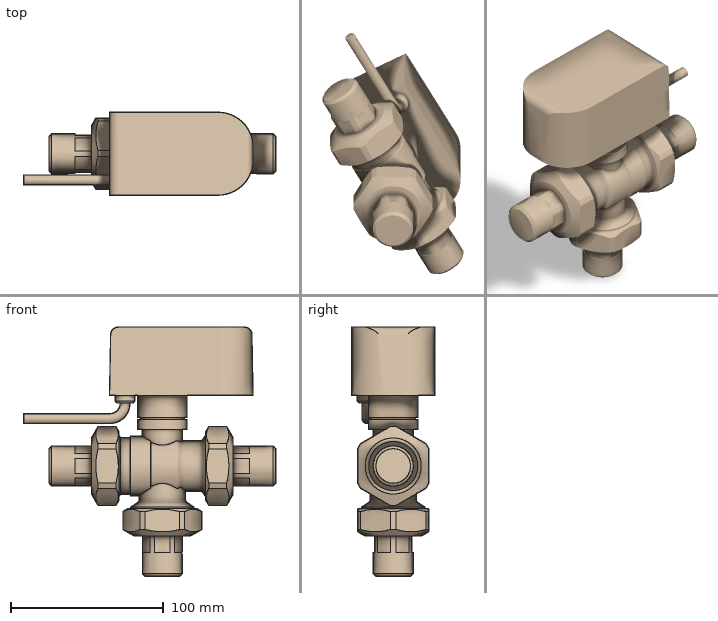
import cadquery as cq
import math


RUN_TIP = 74.4
RUN_NUT_FACE = 46.5
RUN_FLANGE_EDGE = 28.8
BRANCH_TIP = 72.4
BRANCH_NUT_FACE = 46.0
BRANCH_FLANGE_EDGE = 27.0

NUT_LENGTH = 18.2
NUT_ACROSS_FLATS = 46.8
NUT_CORNER_RADIUS = 26.0
NUT_FACE_RADIUS = 18.3
NUT_FACE_CHAMFER = 4.3
NUT_BACK_RADIUS = 22.5
NUT_BACK_CHAMFER = 2.1
NUT_SEAT_DEPTH = NUT_LENGTH / 2

TAIL_RADIUS = 26.3 / 2
TAIL_CHAMFER = 1.8
TAIL_SHOULDER_RADIUS = 16.0
TAIL_ACROSS_FLATS = 24.3
TAIL_FLATS_LENGTH = 10.7

FLANGE_RADIUS = 20.8
FLANGE_CONE_ANGLE = 57.0
FLANGE_FILLET = 2.0
LEFT_RADIUS = 18.8
BAND_RADIUS = 39.2 / 2
BAND_START = -21.3
BAND_END = -7.5
BAND_CHAMFER = 0.5
CENTRE_RADIUS = 19.0
RIGHT_RADIUS = 33.2 / 2
SHOULDER_START = 9.8
SHOULDER_FILLET = 2.3
BRANCH_RADIUS = 15.2
STEM_RADIUS = 26.5 / 2
COLLAR_RADIUS = 32.5 / 2
COLLAR_BOTTOM = 24.0
COLLAR_TOP = 30.4
GROOVE_HEIGHT = 1.5
GROOVE_DEPTH = 1.7

HOUSING_BOTTOM = 46.3
HOUSING_TOP = 91.1
HOUSING_LEFT = -34.7
HOUSING_RIGHT = 59.5
HOUSING_WIDTH = 54.5
HOUSING_DRAFT = 0.8
HOUSING_TOP_FILLET = 5.1
HOUSING_CORNER_RADIUS = 23.1
NECK_BOTTOM = COLLAR_TOP + GROOVE_HEIGHT

GLAND_X = -24.5
GLAND_Y = -17.2
GLAND_RADIUS = 13.0 / 2
GLAND_HEIGHT = 5.1
GLAND_CHAMFER = 1.3
CABLE_RADIUS = 3.3
CABLE_BEND_RADIUS = 10.0
CABLE_Z = 31.0
CABLE_END = -91.0

EDGE_TOLERANCE = 0.002


def turned(points):
    """Solid of revolution about Z from (radius, height) points; the axis closes the outline."""
    outline = [(0, points[0][1])] + points + [(0, points[-1][1])]
    return cq.Workplane("XZ").polyline(outline).close().revolve(360, (0, 0), (0, 1))


def hexagon(across_flats, bottom, height):
    """Hexagonal prism about Z with two flats facing -Y and +Y."""
    across_corners = across_flats / math.cos(math.radians(30))
    return cq.Workplane("XY").workplane(offset=bottom).polygon(6, across_corners).extrude(height)


def cylinder(radius, bottom, top):
    return cq.Workplane("XY").workplane(offset=bottom).circle(radius).extrude(top - bottom)


def fillet_rings(solid, heights, radius):
    """Round the circular edges of a turned solid that lie at the given heights."""
    rings = solid.edges("%CIRCLE").filter(
        lambda edge: any(abs(edge.Center().z - height) < EDGE_TOLERANCE for height in heights)
    )
    return rings.fillet(radius)


def turn_to_port(solid, angle):
    """Swing a solid built along +Z about the Y axis onto its port."""
    return solid.rotate((0, 0, 0), (0, 1, 0), angle)


def seat(nut_face):
    """Station inside the nut where tailpiece and body flange meet."""
    return nut_face - NUT_SEAT_DEPTH


def cone_start(flange_edge, pipe_radius):
    """Station where the flange cone leaves a pipe of the given radius."""
    return flange_edge - (FLANGE_RADIUS - pipe_radius) / math.tan(math.radians(FLANGE_CONE_ANGLE))


def make_nut(nut_face):
    back = nut_face - NUT_LENGTH
    envelope = turned([
        (NUT_BACK_RADIUS, back),
        (NUT_CORNER_RADIUS, back + NUT_BACK_CHAMFER),
        (NUT_CORNER_RADIUS, nut_face - NUT_FACE_CHAMFER),
        (NUT_FACE_RADIUS, nut_face),
    ])
    blank = hexagon(NUT_ACROSS_FLATS, back, NUT_LENGTH).intersect(envelope)
    flange_recess = cylinder(FLANGE_RADIUS, back, seat(nut_face))
    shoulder_bore = cylinder(TAIL_SHOULDER_RADIUS, seat(nut_face), nut_face)
    return blank.cut(flange_recess).cut(shoulder_bore)


def make_tailpiece(nut_face, tip):
    shoulder = cylinder(TAIL_SHOULDER_RADIUS, seat(nut_face), nut_face)
    wrench_section = cylinder(TAIL_RADIUS, nut_face, nut_face + TAIL_FLATS_LENGTH).intersect(
        hexagon(TAIL_ACROSS_FLATS, nut_face, TAIL_FLATS_LENGTH)
    )
    pipe_end = cylinder(TAIL_RADIUS, nut_face + TAIL_FLATS_LENGTH, tip).faces(">Z").chamfer(TAIL_CHAMFER)
    return shoulder.union(wrench_section).union(pipe_end)


def make_run():
    """Stepped barrel between the two run ports, built along Z and laid along X."""
    run_seat = seat(RUN_NUT_FACE)
    left_cone = cone_start(RUN_FLANGE_EDGE, LEFT_RADIUS)
    right_cone = cone_start(RUN_FLANGE_EDGE, RIGHT_RADIUS)
    shoulder_end = SHOULDER_START + CENTRE_RADIUS - RIGHT_RADIUS
    barrel = turned([
        (FLANGE_RADIUS, -run_seat),
        (FLANGE_RADIUS, -RUN_FLANGE_EDGE),
        (LEFT_RADIUS, -left_cone),
        (LEFT_RADIUS, BAND_START),
        (BAND_RADIUS, BAND_START + BAND_CHAMFER),
        (BAND_RADIUS, BAND_END - BAND_CHAMFER),
        (CENTRE_RADIUS, BAND_END),
        (CENTRE_RADIUS, SHOULDER_START),
        (RIGHT_RADIUS, shoulder_end),
        (RIGHT_RADIUS, right_cone),
        (FLANGE_RADIUS, RUN_FLANGE_EDGE),
        (FLANGE_RADIUS, run_seat),
    ])
    barrel = fillet_rings(barrel, [SHOULDER_START, shoulder_end], SHOULDER_FILLET)
    barrel = fillet_rings(barrel, [right_cone], FLANGE_FILLET)
    return turn_to_port(barrel, 90)


def make_branch():
    """Branch pipe with its flange, built along +Z and swung down to -Z."""
    branch_cone = cone_start(BRANCH_FLANGE_EDGE, BRANCH_RADIUS)
    branch = turned([
        (BRANCH_RADIUS, 0),
        (BRANCH_RADIUS, branch_cone),
        (FLANGE_RADIUS, BRANCH_FLANGE_EDGE),
        (FLANGE_RADIUS, seat(BRANCH_NUT_FACE)),
    ])
    branch = fillet_rings(branch, [branch_cone], FLANGE_FILLET)
    return turn_to_port(branch, 180)


def make_stem():
    """Stem with the mounting collar and the reduced spigot that carries the actuator neck."""
    stem = cylinder(STEM_RADIUS, 0, COLLAR_BOTTOM)
    collar = cylinder(COLLAR_RADIUS, COLLAR_BOTTOM, COLLAR_TOP)
    spigot = cylinder(COLLAR_RADIUS - GROOVE_DEPTH, COLLAR_TOP, NECK_BOTTOM)
    return stem.union(collar).union(spigot)


def make_valve_body():
    return make_run().union(make_branch()).union(make_stem())


def make_housing():
    """Side outline with leaning ends and rounded top, trimmed by a plan with two rounded corners."""
    half_width = HOUSING_WIDTH / 2
    side = (
        cq.Workplane("XZ")
        .polyline([
            (HOUSING_LEFT, HOUSING_BOTTOM),
            (HOUSING_RIGHT, HOUSING_BOTTOM),
            (HOUSING_RIGHT - HOUSING_DRAFT, HOUSING_TOP),
            (HOUSING_LEFT + HOUSING_DRAFT, HOUSING_TOP),
        ])
        .close()
        .extrude(half_width, both=True)
        .edges("|Y and >Z")
        .fillet(HOUSING_TOP_FILLET)
    )
    plan = (
        cq.Workplane("XY")
        .workplane(offset=HOUSING_BOTTOM)
        .moveTo((HOUSING_LEFT + HOUSING_RIGHT) / 2, 0)
        .rect(HOUSING_RIGHT - HOUSING_LEFT, HOUSING_WIDTH)
        .extrude(HOUSING_TOP - HOUSING_BOTTOM)
        .edges("|Z and >X")
        .fillet(HOUSING_CORNER_RADIUS)
    )
    return side.intersect(plan)


def make_gland():
    bottom = HOUSING_BOTTOM - GLAND_HEIGHT
    gland = cylinder(GLAND_RADIUS, bottom, HOUSING_BOTTOM).faces("<Z").chamfer(GLAND_CHAMFER)
    return gland.translate((GLAND_X, GLAND_Y, 0))


def make_cable():
    """Cable running along X, bending up into the gland."""
    bend_start = GLAND_X - CABLE_BEND_RADIUS
    bend_top = CABLE_Z + CABLE_BEND_RADIUS
    bend_offset = CABLE_BEND_RADIUS * math.sin(math.radians(45))
    path = (
        cq.Workplane("XZ", origin=(0, GLAND_Y, 0))
        .moveTo(CABLE_END, CABLE_Z)
        .lineTo(bend_start, CABLE_Z)
        .threePointArc((bend_start + bend_offset, bend_top - bend_offset), (GLAND_X, bend_top))
        .lineTo(GLAND_X, HOUSING_BOTTOM)
    )
    section = cq.Workplane("YZ", origin=(CABLE_END, GLAND_Y, CABLE_Z)).circle(CABLE_RADIUS)
    return section.sweep(path)


def make_actuator():
    neck = cylinder(COLLAR_RADIUS, NECK_BOTTOM, HOUSING_BOTTOM)
    return make_housing().union(neck).union(make_gland()).union(make_cable())


PORTS = [
    (-90, RUN_NUT_FACE, RUN_TIP),
    (90, RUN_NUT_FACE, RUN_TIP),
    (180, BRANCH_NUT_FACE, BRANCH_TIP),
]

valve_body = make_valve_body()
actuator = make_actuator()
nuts = []
tailpieces = []
for port_angle, port_nut_face, port_tip in PORTS:
    nuts.append(turn_to_port(make_nut(port_nut_face), port_angle))
    tailpieces.append(turn_to_port(make_tailpiece(port_nut_face, port_tip), port_angle))

result = cq.Compound.makeCompound([
    valve_body.solids().val(),
    actuator.solids().val(),
    *[nut.solids().val() for nut in nuts],
    *[tailpiece.solids().val() for tailpiece in tailpieces],
])